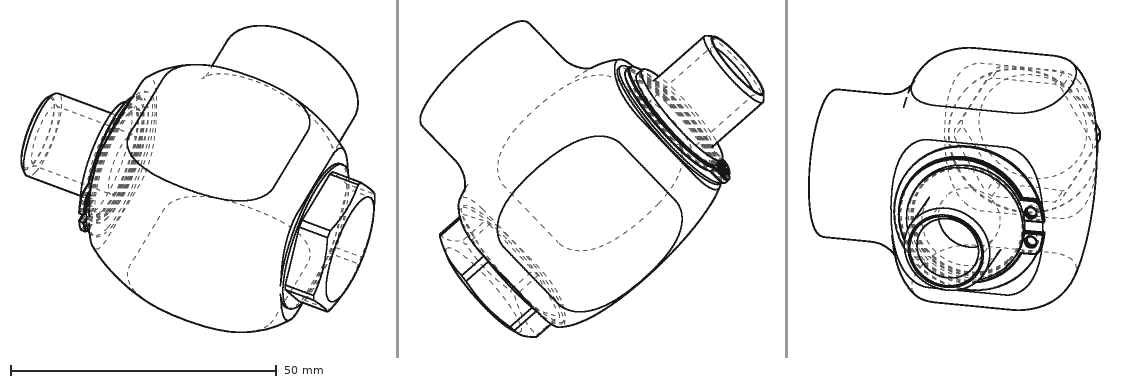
import cadquery as cq
import math


body_width = 40.0
body_radius = 25.0
body_bottom = -15.0
blend_radius = 8.0
port_diameter = 28.0
port_top = 33.0
port_straight = 10.0
port_rounding = 1.0

land_diameter = 29.0
land_height = 0.5

nozzle_end = -37.5
nozzle_diameter = 16.66
nozzle_chamfer = 1.0
nozzle_root_fillet = 0.3
collar_diameter = 22.7
collar_end = -23.25
groove_diameter = 21.5
groove_end = -21.9
bore_diameter = 12.0
bore_mouth_diameter = 14.0
bore_mouth_depth = 1.5

ring_thickness = 1.2
ring_radius = 12.6
ring_offset = 0.7
ring_edge_chamfer = 0.18
lug_radius = 15.0
lug_span = 11.0
lug_corner = 1.6
lug_gap = 2.3
lug_hole_diameter = 2.0
lug_hole_y = -12.5
lug_hole_z = 2.97

plug_end = 27.6
plug_flats = 24.0
plug_corner_flats = 26.9
plug_turn = 30.0
plug_tip_radius = 10.5
plug_tip_slope = 22.0

face_x = body_width / 2
land_x = face_x + land_height


def x_cylinder(diameter, start, end):
    """Cylinder on the X axis between two X positions."""
    return cq.Workplane("YZ", origin=(start, 0, 0)).circle(diameter / 2).extrude(end - start)


def make_body():
    """Turned body and port, squared off to the flats."""
    port_radius = port_diameter / 2
    bottom_y = body_bottom + blend_radius
    bottom_x = body_radius - blend_radius
    hollow_x = port_radius + blend_radius
    hollow_y = port_top - port_straight
    center_gap = hollow_x - bottom_x
    shoulder_y = hollow_y - math.sqrt((2 * blend_radius) ** 2 - center_gap ** 2)
    join_x = (bottom_x + hollow_x) / 2
    join_y = (shoulder_y + hollow_y) / 2
    profile = (
        cq.Workplane("XY")
        .moveTo(0, body_bottom)
        .lineTo(bottom_x, body_bottom)
        .radiusArc((body_radius, bottom_y), -blend_radius)
        .lineTo(body_radius, shoulder_y)
        .radiusArc((join_x, join_y), -blend_radius)
        .radiusArc((port_radius, hollow_y), blend_radius)
        .lineTo(port_radius, port_top)
        .lineTo(0, port_top)
        .close()
    )
    turned = profile.revolve(360, (0, 0, 0), (0, 1, 0))
    turned = turned.faces(">Y").edges().fillet(port_rounding)
    length = port_top - body_bottom
    square = cq.Workplane("XY").box(body_width, length, body_width)
    return turned.intersect(square.translate((0, body_bottom + length / 2, 0)))


def make_nozzle():
    """Nozzle with its collar and the grooved neck that joins the body."""
    radius = nozzle_diameter / 2
    fillet_x = collar_end - nozzle_root_fillet
    fillet_radius = radius + nozzle_root_fillet
    return (
        cq.Workplane("XY")
        .moveTo(nozzle_end, 0)
        .lineTo(nozzle_end, radius - nozzle_chamfer)
        .lineTo(nozzle_end + nozzle_chamfer, radius)
        .lineTo(fillet_x, radius)
        .radiusArc((collar_end, fillet_radius), -nozzle_root_fillet)
        .lineTo(collar_end, collar_diameter / 2)
        .lineTo(groove_end, collar_diameter / 2)
        .lineTo(groove_end, groove_diameter / 2)
        .lineTo(-face_x, groove_diameter / 2)
        .lineTo(-face_x, 0)
        .close()
        .revolve(360, (0, 0, 0), (1, 0, 0))
    )


def make_bore():
    """Nozzle bore with a conical mouth, ending at the body face."""
    return (
        cq.Workplane("XY")
        .moveTo(nozzle_end, 0)
        .lineTo(nozzle_end, bore_mouth_diameter / 2)
        .lineTo(nozzle_end + bore_mouth_depth, bore_diameter / 2)
        .lineTo(-face_x, bore_diameter / 2)
        .lineTo(-face_x, 0)
        .close()
        .revolve(360, (0, 0, 0), (1, 0, 0))
    )


def make_retaining_ring():
    """Open retaining ring with two drilled lugs on the -Y side."""
    start = groove_end
    end = start + ring_thickness
    middle = (start + end) / 2
    lugs = x_cylinder(2 * lug_radius, start, end)
    lug_block = cq.Workplane("XY").box(ring_thickness, lug_radius, lug_span)
    lugs = lugs.intersect(lug_block.translate((middle, -lug_radius / 2, 0)))
    ring = x_cylinder(2 * ring_radius, start, end).translate((0, ring_offset, 0)).union(lugs)
    corner_y = -math.sqrt(lug_radius ** 2 - (lug_span / 2) ** 2)
    for side in (-1, 1):
        corner = cq.selectors.NearestToPointSelector((middle, corner_y, side * lug_span / 2))
        ring = ring.edges("|X").edges(corner).fillet(lug_corner)
    ring = ring.cut(x_cylinder(groove_diameter, start, end))
    gap = cq.Workplane("XY").box(ring_thickness, lug_radius, lug_gap)
    ring = ring.cut(gap.translate((middle, -lug_radius / 2, 0)))
    for side in (-1, 1):
        hole = x_cylinder(lug_hole_diameter, start, end)
        ring = ring.cut(hole.translate((0, lug_hole_y, side * lug_hole_z)))
    return ring.faces("<X or >X").edges().chamfer(ring_edge_chamfer)


def make_plug():
    """Hexagonal plug with blunted corners and a conical end chamfer."""
    length = plug_end - face_x
    base = cq.Workplane("YZ", origin=(face_x, 0, 0))
    hexagon = base.polygon(6, plug_flats, circumscribed=True).extrude(length)
    blunting = base.polygon(6, plug_corner_flats, circumscribed=True).extrude(length)
    hexagon = hexagon.rotate((0, 0, 0), (1, 0, 0), plug_turn)
    cone_radius = plug_flats
    cone_depth = (cone_radius - plug_tip_radius) * math.tan(math.radians(plug_tip_slope))
    cone = (
        cq.Workplane("XY")
        .moveTo(0, 0)
        .lineTo(0, cone_radius)
        .lineTo(plug_end - cone_depth, cone_radius)
        .lineTo(plug_end, plug_tip_radius)
        .lineTo(plug_end, 0)
        .close()
        .revolve(360, (0, 0, 0), (1, 0, 0))
    )
    return hexagon.intersect(blunting).intersect(cone)


body = make_body()
lands = x_cylinder(land_diameter, -land_x, land_x)
nozzle = make_nozzle()
ring = make_retaining_ring()
plug = make_plug()
result = body.union(lands).union(nozzle).union(ring).union(plug).cut(make_bore())